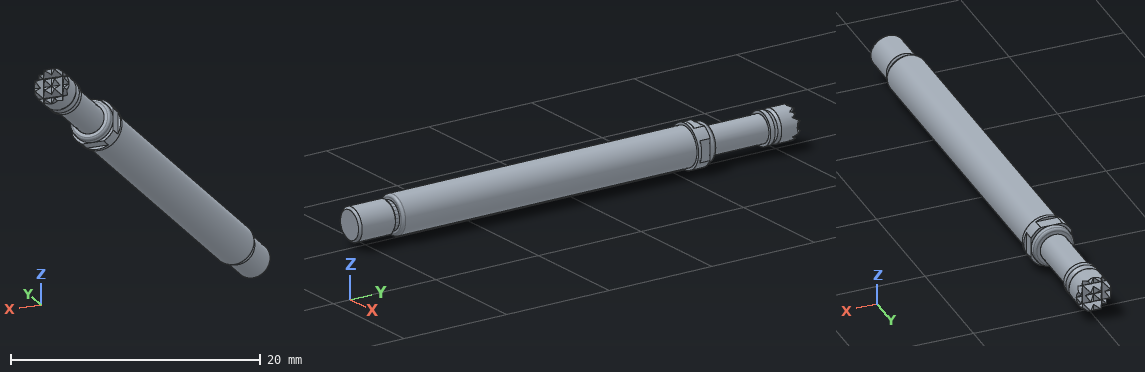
import cadquery as cq

length = 43.1
tip_y = length / 2

head_radius = 1.5
head_groove_radius = 1.35
plunger_radius = 1.25
barrel_radius = 1.75
collar_diameter = 4.0
collar_radius = collar_diameter / 2
neck_radius = 1.3
tail_radius = 1.5
tail_end_radius = 1.3

head_groove_start = 2.0
head_groove_bottom = 2.25
head_groove_end = 2.65
head_end = 3.05
barrel_start = 8.5
flats_start = 9.15
rib_start = 10.15
rib_end = 10.45
barrel_end = 39.1
neck_end = 39.5
tail_start = 39.65
tail_chamfer_start = 42.9

barrel_front_fillet = 0.2
barrel_rear_fillet = 0.25

neck_facet_count = 24

inner_tip_offset = 0.45
outer_tip_offset = 1.25
middle_groove_depth = 0.47
side_groove_depth = 0.75


def turned(profile):
    """Revolve an outline given as (station, radius) pairs about the Y axis."""
    points = [(radius, tip_y - station) for station, radius in profile]
    return cq.Workplane("XY").polyline(points).close().revolve(360, (0, 0, 0), (0, 1, 0))


def disc(start, end, radius):
    """Round disc on the axis between two stations."""
    return cq.Workplane("XZ", origin=(0, tip_y - start, 0)).circle(radius).extrude(end - start)


def plunger():
    """Head blank with its V-shaped ring groove, and the rod into the barrel."""
    return turned([
        (0, 0),
        (0, head_radius),
        (head_groove_start, head_radius),
        (head_groove_bottom, head_groove_radius),
        (head_groove_end, head_radius),
        (head_end, head_radius),
        (head_end, plunger_radius),
        (barrel_start, plunger_radius),
        (barrel_start, 0),
    ])


def v_groove(offset, half_width, depth):
    """V-groove running along Z, centred at the given X and open at the tooth tips."""
    outline = [
        (offset - half_width, tip_y),
        (offset, tip_y - depth),
        (offset + half_width, tip_y),
    ]
    return cq.Workplane("XY").polyline(outline).close().extrude(head_radius, both=True)


def crown_grooves():
    """Parallel grooves: one in the middle, one on each side of it, and one bevelling each edge."""
    side_half_width = (outer_tip_offset - inner_tip_offset) / 2
    side_offset = inner_tip_offset + side_half_width
    edge_offset = outer_tip_offset + side_half_width
    grooves = v_groove(0, inner_tip_offset, middle_groove_depth)
    for offset in (-edge_offset, -side_offset, side_offset, edge_offset):
        grooves = grooves.union(v_groove(offset, side_half_width, side_groove_depth))
    return grooves


def barrel():
    """Long round barrel with rounded ends."""
    blank = disc(barrel_start, barrel_end, barrel_radius)
    front_rounded = blank.faces(">Y").edges().fillet(barrel_front_fillet)
    return front_rounded.faces("<Y").edges().fillet(barrel_rear_fillet)


def collar():
    """Collar with four flats level with the barrel, closed behind by a full round rib."""
    square = (
        cq.Workplane("XZ", origin=(0, tip_y - flats_start, 0))
        .rect(2 * barrel_radius, 2 * barrel_radius)
        .extrude(rib_start - flats_start)
    )
    flats = disc(flats_start, rib_start, collar_radius).intersect(square)
    return flats.union(disc(rib_start, rib_end, collar_radius))


def neck():
    """Short faceted neck behind the barrel, with a facet facing each main direction."""
    return (
        cq.Workplane("XZ", origin=(0, tip_y - barrel_end, 0))
        .transformed(rotate=(0, 0, 180 / neck_facet_count))
        .polygon(neck_facet_count, 2 * neck_radius)
        .extrude(neck_end - barrel_end)
    )


def tail():
    """Round tail, chamfered at both ends."""
    return turned([
        (neck_end, 0),
        (neck_end, neck_radius),
        (tail_start, tail_radius),
        (tail_chamfer_start, tail_radius),
        (length, tail_end_radius),
        (length, 0),
    ])


grooves_along_z = crown_grooves()
grooves_along_x = grooves_along_z.rotate((0, 0, 0), (0, 1, 0), 90)
toothed_plunger = plunger().cut(grooves_along_z).cut(grooves_along_x)

result = toothed_plunger.union(barrel()).union(collar()).union(neck()).union(tail())